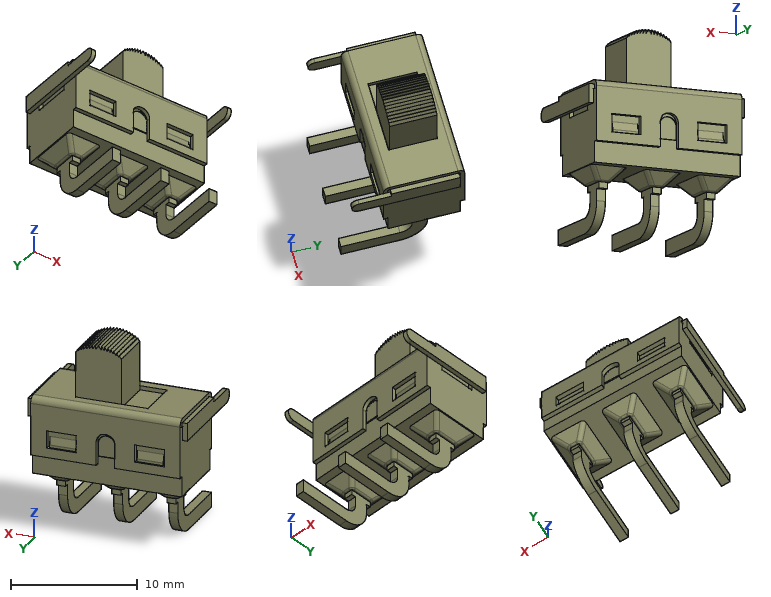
import cadquery as cq
import math


housing_length = 12.73
body_width = 5.93
body_height = 5.97
sheet = 0.35
bracket_top = body_height + sheet
cover_top = bracket_top + sheet
cover_width = body_width + 2 * sheet
cover_bottom = 1.7
cover_radius = 0.55

overall_length = 13.57
tab_thickness = 0.39
tab_bottom = 4.81
tab_back = 2.85
tab_front = -2.78
arm_tip = -6.02
arm_radius = (body_height - tab_bottom) / 2

recess_width = 3.35
recess_bottom = 4.45
recess_depth = 0.35

knob_size = 3.89
knob_x = 1.15
knob_top = 11.38
crown_radius = 2.91
tooth_slope = 1.5
tooth_lean = 0.05
tooth_pitch = math.radians(5.3)
teeth_per_side = 7
slot_length = 2 * (knob_x + knob_size / 2)
slot_width = 4.0

window_inner, window_outer = 2.5, 5.02
window_bottom, window_top = 2.51, 3.98
wedge_inner, wedge_outer = 2.6, 4.84
wedge_nose, wedge_top = 2.74, 3.4
wedge_height = 0.18

notch_width = 1.57
notch_top = 4.48
key_width = 1.45
key_bottom, key_top = 2.4, 4.23
key_height = 0.1

pin_pitch = 4.7
pin_width = 0.78
pin_thickness = 1.26
pin_bottom = knob_top - 16.19
pin_tip = cover_width / 2 - 9.78
pin_bend = 1.0
collar_width = 2.07
collar_bottom = -1.59
base_length, base_width = 3.14, 4.37
base_depth = 1.08
base_taper = 42
base_corner_radius = 0.47
base_edge_radius = 0.28


def block(x, y, z):
    """Box between the (low, high) limits given for each axis."""
    size = [high - low for low, high in (x, y, z)]
    return cq.Workplane().box(*size, centered=False).translate((x[0], y[0], z[0]))


def centred(width):
    return (-width / 2, width / 2)


def arch(width, bottom, top, y):
    """Round-topped upright outline spanning the (low, high) limits in Y."""
    half = width / 2
    return (
        cq.Workplane("XZ", origin=(0, y[1], 0))
        .moveTo(-half, bottom)
        .lineTo(-half, top - half)
        .threePointArc((0, top), (half, top - half))
        .lineTo(half, bottom)
        .close()
        .extrude(y[1] - y[0])
    )


def both_sides(shape, plane):
    return shape.union(shape.mirror(plane))


def make_body():
    body = block(centred(housing_length), centred(body_width), (0, body_height))
    end = housing_length / 2
    recess = block((end - recess_depth, end), centred(recess_width), (recess_bottom, body_height))
    return body.cut(both_sides(recess, "YZ"))


def make_cover():
    """Folded sheet channel with slot, latch windows and arched notches."""
    cover = (
        block(centred(housing_length), centred(cover_width), (cover_bottom, cover_top))
        .edges("|X and >Z").fillet(cover_radius)
    )
    hollow = (
        block(centred(housing_length), centred(body_width), (cover_bottom, bracket_top))
        .edges("|X and >Z").fillet(cover_radius - sheet)
    )
    slot = block(centred(slot_length), centred(slot_width), (bracket_top, cover_top))
    window = block(
        (window_inner, window_outer), centred(cover_width), (window_bottom, window_top)
    )
    notch = arch(notch_width, cover_bottom, notch_top, centred(cover_width))
    return cover.cut(hollow).cut(slot).cut(both_sides(window, "YZ")).cut(notch)


def make_side_details():
    """Latch wedges and arched key standing on both long sides of the body."""
    face = -body_width / 2
    wedge = (
        cq.Workplane("YZ", origin=(wedge_inner, 0, 0))
        .polyline([
            (face, window_bottom),
            (face - wedge_height, window_bottom),
            (face - wedge_height, wedge_nose),
            (face, wedge_top),
        ])
        .close()
        .extrude(wedge_outer - wedge_inner)
    )
    key = arch(key_width, key_bottom, key_top, (face - key_height, face))
    return both_sides(both_sides(wedge, "YZ").union(key), "XZ")


def make_bracket():
    """Plate over the body, bent down at each end into a tab with an arm."""
    end = overall_length / 2
    plate = block(centred(overall_length), (tab_front, tab_back), (body_height, bracket_top))
    arm_end = arm_tip + arm_radius
    tab = (
        cq.Workplane("YZ", origin=(end - tab_thickness, 0, 0))
        .moveTo(tab_back, tab_bottom)
        .lineTo(tab_back, bracket_top)
        .lineTo(tab_front, bracket_top)
        .lineTo(tab_front, body_height)
        .lineTo(arm_end, body_height)
        .threePointArc((arm_tip, body_height - arm_radius), (arm_end, tab_bottom))
        .close()
        .extrude(tab_thickness)
    )
    return plate.union(both_sides(tab, "YZ"))


def make_knob():
    """Square knob whose crown carries saw teeth stepping down from the middle.

    Each tooth slopes down away from the middle and ends at the steep
    inner face of the next one.
    """
    half = knob_size / 2
    tip_x, tip_z = 0, knob_top
    right = []
    for index in range(1, teeth_per_side + 1):
        next_x = crown_radius * math.sin(index * tooth_pitch)
        root_x = next_x - tooth_lean
        root_z = tip_z - tooth_slope * (root_x - tip_x)
        tip_x = next_x
        tip_z = knob_top - crown_radius * (1 - math.cos(index * tooth_pitch))
        right += [(root_x, root_z), (tip_x, tip_z)]
    shoulder_z = tip_z - tooth_slope * (half - tip_x)
    right += [(half, shoulder_z), (half, bracket_top)]
    left = [(-x, z) for x, z in reversed(right)]
    outline = left + [(0, knob_top)] + right
    return (
        cq.Workplane("XZ", origin=(knob_x, half, 0))
        .polyline(outline)
        .close()
        .extrude(knob_size)
    )


def make_terminal():
    """Tapered base under the body and a flat pin bent towards -Y."""
    base = (
        cq.Workplane("XY")
        .rect(base_length, base_width)
        .extrude(-base_depth, taper=base_taper)
        .edges("not (|X or |Y)").fillet(base_corner_radius)
        .faces("<Z").edges().fillet(base_edge_radius)
    )
    collar = block(centred(pin_width), centred(collar_width), (collar_bottom, -base_depth / 2))
    back = pin_thickness / 2
    front = -back
    pin_upper = pin_bottom + pin_thickness
    bend_y = front - pin_bend
    bend_z = pin_upper + pin_bend
    outer_bend = pin_bend + pin_thickness
    diagonal = math.sqrt(0.5)
    pin = (
        cq.Workplane("YZ", origin=(-pin_width / 2, 0, 0))
        .moveTo(back, collar_bottom)
        .lineTo(back, bend_z)
        .threePointArc(
            (bend_y + outer_bend * diagonal, bend_z - outer_bend * diagonal),
            (bend_y, pin_bottom),
        )
        .lineTo(pin_tip, pin_bottom)
        .lineTo(pin_tip, pin_upper)
        .lineTo(bend_y, pin_upper)
        .threePointArc(
            (bend_y + pin_bend * diagonal, bend_z - pin_bend * diagonal),
            (front, bend_z),
        )
        .lineTo(front, collar_bottom)
        .close()
        .extrude(pin_width)
    )
    return base.union(collar).union(pin)


result = make_body().union(make_cover()).union(make_bracket())
result = result.union(make_side_details()).union(make_knob())
for position in (-1, 0, 1):
    result = result.union(make_terminal().translate((position * pin_pitch, 0, 0)))